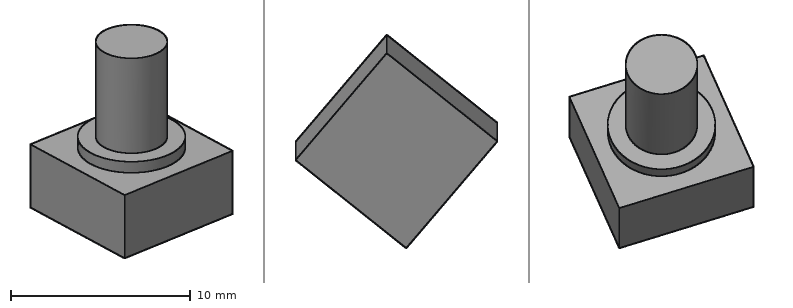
import cadquery as cq

base_side = 8.0
base_height = 4.0
collar_diameter = 6.0
collar_height = 0.7
pin_diameter = 4.0
pin_height = 6.0


def make_base():
    """Square block resting on the XY plane, centred on the Z axis."""
    return cq.Workplane("XY").rect(base_side, base_side).extrude(base_height)


def add_cylinder(body, diameter, height):
    """Stack a centred cylinder on the top face of the body."""
    return body.faces(">Z").workplane().circle(diameter / 2).extrude(height)


base = make_base()
base_with_collar = add_cylinder(base, collar_diameter, collar_height)
result = add_cylinder(base_with_collar, pin_diameter, pin_height)